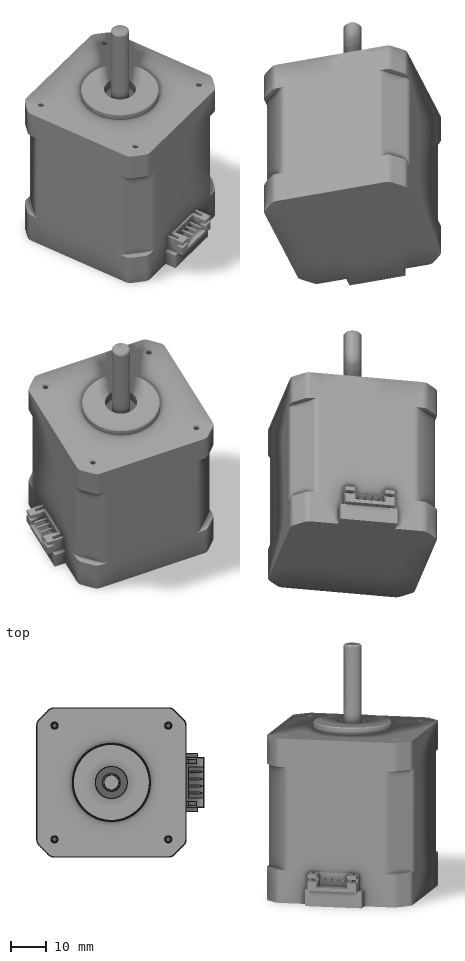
import cadquery as cq


body_width = 42.0
body_height = 47.0
corner_rounding = 2.3
cap_corner_cut = 4.0
stator_corner_cut = 6.5
rear_cap_height = 9.4
front_cap_height = 8.1
stator_height = body_height - rear_cap_height - front_cap_height

boss_diameter = 22.0
boss_height = 2.0
boss_chamfer = 0.3
recess_diameter = 9.0
recess_depth = 3.0

mount_spacing = 32.0
mount_hole_diameter = 1.4
mount_hole_depth = 4.0
mount_countersink_diameter = 2.0

shaft_diameter = 5.0
shaft_top = 71.0
shaft_chamfer = 0.4

wall_x = body_width / 2
base_length = 3.3
base_width = 16.4
base_height = 4.7
socket_length = 5.0
socket_width = 14.0
socket_top = rear_cap_height

cavity_width = 8.8
cavity_back_wall = 0.65
cavity_floor = 5.7

side_slot_bottom = 7.35
side_slot_height = 1.0
side_slot_start = 2.9

key_width = 1.05
key_offset = 5.9
key_depth = 2.0
key_step_depth = 1.0

pin_count = 4
pin_pitch = 2.0
pin_size = 0.5
pin_end = 4.5
pin_tip_length = 0.5
pin_tip_size = 0.25
pin_z = side_slot_bottom + pin_size / 2

overlap = 0.5

boss_top = body_height + boss_height
recess_floor = boss_top - recess_depth


def trimmed_block(height, bottom_z, corner_cut):
    """Square block with 45 degree corner cuts whose edges are rounded."""
    return (
        cq.Workplane("XY", origin=(0, 0, bottom_z))
        .rect(body_width, body_width)
        .extrude(height)
        .edges("|Z")
        .chamfer(corner_cut)
        .edges("|Z")
        .fillet(corner_rounding)
    )


def wall_box(start, end, width, bottom_z, top_z, center_y=0):
    """Box spanning from start to end, measured outwards from the +X wall."""
    return (
        cq.Workplane("XY", origin=(wall_x + start, center_y, bottom_z))
        .box(end - start, width, top_z - bottom_z, centered=(False, True, False))
    )


def make_case():
    """Rear cap, stator and front cap with the boss, recess and mounting holes."""
    boss = (
        cq.Workplane("XY", origin=(0, 0, body_height))
        .circle(boss_diameter / 2)
        .extrude(boss_height)
        .faces(">Z")
        .chamfer(boss_chamfer)
    )
    recess = cq.Workplane("XY", origin=(0, 0, recess_floor)).circle(recess_diameter / 2).extrude(recess_depth)
    case = (
        trimmed_block(rear_cap_height, 0, cap_corner_cut)
        .union(trimmed_block(stator_height, rear_cap_height, stator_corner_cut))
        .union(trimmed_block(front_cap_height, body_height - front_cap_height, cap_corner_cut))
    )
    return case.cut(make_mount_holes()).union(boss).cut(recess)


def make_mount_holes():
    """Cutters for the countersunk blind holes at the corners of the front face."""
    countersink_depth = (mount_countersink_diameter - mount_hole_diameter) / 2
    profile = (
        cq.Workplane("XZ")
        .moveTo(0, body_height)
        .lineTo(mount_countersink_diameter / 2, body_height)
        .lineTo(mount_hole_diameter / 2, body_height - countersink_depth)
        .lineTo(mount_hole_diameter / 2, body_height - mount_hole_depth)
        .lineTo(0, body_height - mount_hole_depth)
        .close()
    )
    cutter = profile.revolve(360, (0, 0, 0), (0, 1, 0)).val()
    return (
        cq.Workplane("XY")
        .rect(mount_spacing, mount_spacing, forConstruction=True)
        .vertices()
        .eachpoint(lambda place: cutter.moved(place))
    )


def make_pin(center_y):
    """Square contact pin along X with a tapered tip."""
    tip_start = pin_end - pin_tip_length
    straight = wall_box(
        cavity_back_wall - overlap, tip_start, pin_size, pin_z - pin_size / 2, pin_z + pin_size / 2, center_y
    )
    tip = (
        cq.Workplane("YZ", origin=(wall_x + tip_start, center_y, pin_z))
        .rect(pin_size, pin_size)
        .workplane(offset=pin_tip_length)
        .rect(pin_tip_size, pin_tip_size)
        .loft()
    )
    return straight.union(tip)


def make_connector():
    """Base and socket, with the cavity, side slot, key pockets and pins."""
    base = wall_box(-overlap, base_length, base_width, 0, base_height)
    socket = wall_box(-overlap, socket_length, socket_width, base_height, socket_top)
    cavity = wall_box(cavity_back_wall, socket_length, cavity_width, cavity_floor, socket_top)
    side_slot = wall_box(
        side_slot_start, socket_length, socket_width, side_slot_bottom, side_slot_bottom + side_slot_height
    )
    connector = base.union(socket).cut(cavity).cut(side_slot)
    for side in (-1, 1):
        key_y = side * key_offset
        step = wall_box(0, side_slot_start, key_width, socket_top - key_step_depth, socket_top, key_y)
        pocket = wall_box(
            cavity_back_wall, side_slot_start, key_width, socket_top - key_depth, socket_top, key_y
        )
        connector = connector.cut(step).cut(pocket)
    for index in range(pin_count):
        connector = connector.union(make_pin((index - (pin_count - 1) / 2) * pin_pitch))
    return connector


def make_shaft():
    """Plain round shaft standing on the recess floor."""
    return (
        cq.Workplane("XY", origin=(0, 0, recess_floor))
        .circle(shaft_diameter / 2)
        .extrude(shaft_top - recess_floor)
        .faces(">Z")
        .chamfer(shaft_chamfer)
    )


motor = make_case().union(make_connector())
shaft = make_shaft()

result = cq.Compound.makeCompound([motor.val(), shaft.val()])